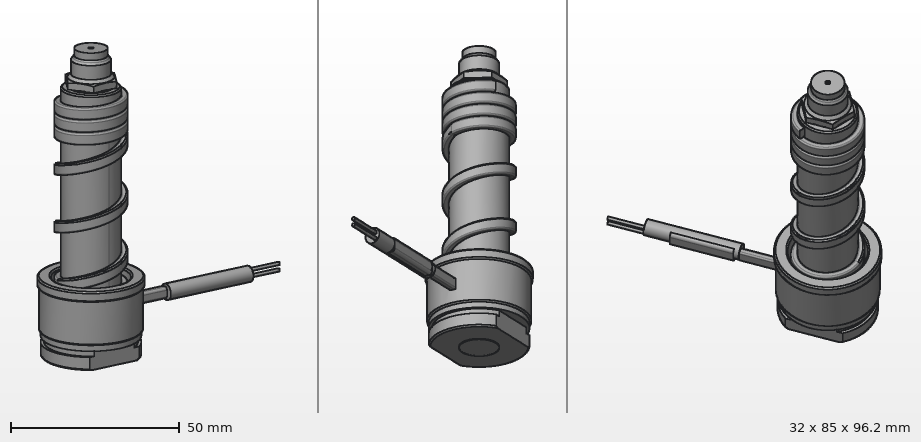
import cadquery as cq
import math

FULL_TURN = 360.0

BASE_PAD_RADIUS = 6.0
BASE_PAD_HEIGHT = 0.3
FOOT_RADIUS = 15.0
FOOT_TOP = 4.5
NECK_RADIUS = 14.0
NECK_TOP = 6.4
COLLAR_TOP = 8.2
CUP_RADIUS = 15.5
CUP_TOP = 21.9
FLANGE_RADIUS = 16.0
FLANGE_TOP = 25.2
EDGE_CHAMFER = 0.5
FLAT_DISTANCE = 12.0

BORE_RADIUS = 11.9
BORE_DEPTH = 8.0

SHAFT_RADIUS = 9.0
SHAFT_TOP = 84.2
HEX_NECK_RADIUS = 6.7
HEX_BOTTOM = 84.8
HEX_TOP = 87.2
HEX_ACROSS_FLATS = 14.5
HEX_CROWN_RADIUS = 7.0
HEX_CORNER_DROP = 0.4
NOZZLE_RADIUS = 6.0
NOZZLE_TOP = 93.4
NOZZLE_FLARE = 1.0
NOZZLE_CHAMFER_WIDTH = 0.6
NOZZLE_CHAMFER_HEIGHT = 0.8
TIP_RADIUS = 5.0
TIP_TOP = 96.2
TIP_FLARE_HEIGHT = 0.5
ORIFICE_RADIUS = 0.4
ORIFICE_MOUTH_RADIUS = 0.75
ORIFICE_MOUTH_ANGLE = 90.0
ORIFICE_DEPTH = 2.0

STRIP_WIDTH = 2.4
STRIP_HEIGHT = 3.6
STRIP_OUTER_RADIUS = 10.95
OUTER_FILLET = 0.5
INNER_FILLET = 0.8
COIL_TOP_ANGLE = 150.0
COIL_TOP_Z = 81.12
TIGHT_PITCH = 3.95
UPPER_JOIN_ANGLE = 74.0
UPPER_TIGHT_SWEEP = 3 * FULL_TURN + COIL_TOP_ANGLE - UPPER_JOIN_ANGLE
LOOSE_PITCH = 18.0
LOWER_JOIN_ANGLE = -100.0
LOOSE_SWEEP = 2 * FULL_TURN + UPPER_JOIN_ANGLE - LOWER_JOIN_ANGLE
LOWER_TIGHT_SWEEP = FULL_TURN

LEAD_X = -0.74
LEAD_Z = 14.65
LEAD_START = NECK_RADIUS
SLEEVE_RADIUS = 2.5
SLEEVE_Z = 14.9
SLEEVE_START = 27.3
SLEEVE_LENGTH = 30.0
LABEL_START = 29.0
LABEL_LENGTH = 20.0
LABEL_HEIGHT = 4.6
LABEL_FILLET = 1.0
WIRE_RADIUS = 0.55
WIRE_X = -1.04
WIRE_SPACING = 2.0
WIRE_END = 69.0


def cylinder(radius, bottom, top):
    return cq.Workplane("XY").workplane(offset=bottom).circle(radius).extrude(top - bottom)


def make_foot():
    """Base pad, chamfered foot and neck, with two flats across X."""
    foot = cylinder(FOOT_RADIUS, BASE_PAD_HEIGHT, FOOT_TOP).faces("<Z").chamfer(EDGE_CHAMFER)
    foot = foot.union(cylinder(NECK_RADIUS, FOOT_TOP, NECK_TOP))
    flats = cq.Workplane("XY").rect(2 * FLAT_DISTANCE, 3 * FOOT_RADIUS).extrude(NECK_TOP)
    return foot.intersect(flats).union(cylinder(BASE_PAD_RADIUS, 0, BASE_PAD_HEIGHT))


def make_cup():
    """Collar, cup and flange, bored from the top."""
    floor = FLANGE_TOP - BORE_DEPTH
    outline = [
        (0, NECK_TOP),
        (FOOT_RADIUS, NECK_TOP),
        (FOOT_RADIUS, COLLAR_TOP),
        (CUP_RADIUS, COLLAR_TOP + CUP_RADIUS - FOOT_RADIUS),
        (CUP_RADIUS, CUP_TOP),
        (FLANGE_RADIUS, CUP_TOP + FLANGE_RADIUS - CUP_RADIUS),
        (FLANGE_RADIUS, FLANGE_TOP - EDGE_CHAMFER),
        (FLANGE_RADIUS - EDGE_CHAMFER, FLANGE_TOP),
        (BORE_RADIUS + EDGE_CHAMFER, FLANGE_TOP),
        (BORE_RADIUS, FLANGE_TOP - EDGE_CHAMFER),
        (BORE_RADIUS, floor),
        (0, floor),
    ]
    return cq.Workplane("XZ").polyline(outline).close().revolve(FULL_TURN, (0, 0), (0, 1))


def make_shaft():
    """Shaft standing on the bore floor, with a short neck below the hexagon."""
    shaft = cylinder(SHAFT_RADIUS, FLANGE_TOP - BORE_DEPTH, SHAFT_TOP).faces(">Z").chamfer(EDGE_CHAMFER)
    return shaft.union(cylinder(HEX_NECK_RADIUS, SHAFT_TOP, HEX_BOTTOM))


def make_hexagon():
    """Hexagon with corners on the Y axis, its top sloping down to the corners as a shallow cone."""
    corner_radius = HEX_ACROSS_FLATS / 2 / math.cos(math.pi / 6)
    prism = (
        cq.Workplane("XY")
        .workplane(offset=HEX_BOTTOM)
        .polygon(6, 2 * corner_radius)
        .extrude(HEX_TOP - HEX_BOTTOM)
        .rotate((0, 0, 0), (0, 0, 1), 90)
    )
    crown_outline = [
        (0, HEX_BOTTOM),
        (corner_radius, HEX_BOTTOM),
        (corner_radius, HEX_TOP - HEX_CORNER_DROP),
        (HEX_CROWN_RADIUS, HEX_TOP),
        (0, HEX_TOP),
    ]
    crown = cq.Workplane("XZ").polyline(crown_outline).close().revolve(FULL_TURN, (0, 0), (0, 1))
    return prism.intersect(crown)


def make_nozzle():
    """Stepped nozzle rising from the hexagon, with a countersunk orifice in its tip."""
    outline = [
        (0, HEX_TOP),
        (NOZZLE_RADIUS + NOZZLE_FLARE, HEX_TOP),
        (NOZZLE_RADIUS, HEX_TOP + NOZZLE_FLARE),
        (NOZZLE_RADIUS, NOZZLE_TOP - NOZZLE_CHAMFER_HEIGHT),
        (NOZZLE_RADIUS - NOZZLE_CHAMFER_WIDTH, NOZZLE_TOP),
        (TIP_RADIUS, NOZZLE_TOP + TIP_FLARE_HEIGHT),
        (TIP_RADIUS, TIP_TOP),
        (0, TIP_TOP),
    ]
    nozzle = cq.Workplane("XZ").polyline(outline).close().revolve(FULL_TURN, (0, 0), (0, 1))
    return nozzle.faces(">Z").workplane().cskHole(
        2 * ORIFICE_RADIUS, 2 * ORIFICE_MOUTH_RADIUS, ORIFICE_MOUTH_ANGLE, ORIFICE_DEPTH
    )


def strip_section(outer_x):
    """Rounded strip outline in the XZ plane, centred on Z = 0, its outer face at outer_x."""
    inner_x = outer_x - STRIP_WIDTH
    half_height = STRIP_HEIGHT / 2
    return (
        cq.Workplane("XZ")
        .moveTo(inner_x + INNER_FILLET, -half_height)
        .lineTo(outer_x - OUTER_FILLET, -half_height)
        .radiusArc((outer_x, OUTER_FILLET - half_height), -OUTER_FILLET)
        .lineTo(outer_x, half_height - OUTER_FILLET)
        .radiusArc((outer_x - OUTER_FILLET, half_height), -OUTER_FILLET)
        .lineTo(inner_x + INNER_FILLET, half_height)
        .radiusArc((inner_x, half_height - INNER_FILLET), -INNER_FILLET)
        .lineTo(inner_x, INNER_FILLET - half_height)
        .radiusArc((inner_x + INNER_FILLET, -half_height), -INNER_FILLET)
        .close()
    )


def coil_section(pitch, sweep_angle, start_angle, start_z):
    """One constant-pitch length of strip, climbing from the given angle and height."""
    middle_radius = STRIP_OUTER_RADIUS - STRIP_WIDTH / 2
    path = cq.Wire.makeHelix(pitch, pitch * sweep_angle / FULL_TURN, middle_radius)
    strip = strip_section(STRIP_OUTER_RADIUS).sweep(cq.Workplane(path), isFrenet=True)
    return strip.rotate((0, 0, 0), (0, 0, 1), start_angle).translate((0, 0, start_z))


def coil_sections():
    """Lengths of strip from the top end down: tight, loose, tight."""
    angle = COIL_TOP_ANGLE
    z = COIL_TOP_Z
    sections = []
    for pitch, sweep_angle in (
        (TIGHT_PITCH, UPPER_TIGHT_SWEEP),
        (LOOSE_PITCH, LOOSE_SWEEP),
        (TIGHT_PITCH, LOWER_TIGHT_SWEEP),
    ):
        angle -= sweep_angle
        z -= pitch * sweep_angle / FULL_TURN
        sections.append(coil_section(pitch, sweep_angle, angle, z))
    return sections


def make_lead():
    """Flat lead, sleeve with a raised label, and two wires, all along +Y."""
    lead = (
        strip_section(STRIP_WIDTH / 2)
        .extrude(LEAD_START - SLEEVE_START)
        .rotate((0, 0, 0), (0, 1, 0), 180)
        .translate((LEAD_X, LEAD_START, LEAD_Z))
    )
    sleeve = (
        cq.Workplane("XZ", origin=(0, SLEEVE_START, SLEEVE_Z))
        .circle(SLEEVE_RADIUS).extrude(-SLEEVE_LENGTH)
    )
    label = (
        cq.Workplane("XY")
        .box(SLEEVE_RADIUS, LABEL_LENGTH, LABEL_HEIGHT, centered=(False, False, True))
        .edges("|Y and <X").fillet(LABEL_FILLET)
        .translate((-SLEEVE_RADIUS, LABEL_START, LEAD_Z))
    )
    sleeve_end = SLEEVE_START + SLEEVE_LENGTH
    wires = (
        cq.Workplane("XZ", origin=(WIRE_X, sleeve_end, LEAD_Z))
        .pushPoints([(0, -WIRE_SPACING / 2), (0, WIRE_SPACING / 2)])
        .circle(WIRE_RADIUS).extrude(sleeve_end - WIRE_END)
    )
    return lead.union(sleeve).union(label).union(wires)


result = make_foot().union(make_cup()).union(make_shaft())
result = result.union(make_hexagon()).union(make_nozzle())
for strip in coil_sections():
    result = result.union(strip)
result = result.union(make_lead())